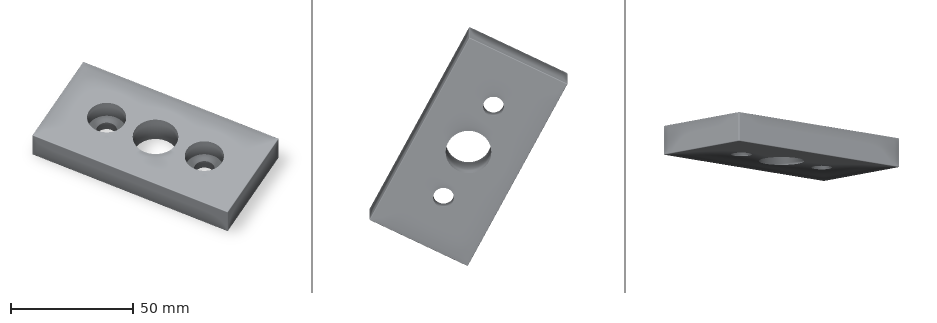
import cadquery as cq

length = 90.0
width = 45.0
thickness = 12.0
edge_radius = 0.3

bore_diameter = 18.63

screw_spacing = length / 2
screw_diameter = 8.5
counterbore_diameter = 16.0
counterbore_depth = 8.0


def make_plate():
    """Rectangular plate centred on the origin, with every outer edge rounded."""
    return cq.Workplane("XY").box(length, width, thickness).edges().fillet(edge_radius)


def cut_bore(plate):
    """Cut the through bore at the centre of the plate."""
    return plate.faces(">Z").workplane(origin=(0, 0, 0)).hole(bore_diameter)


def cut_screw_holes(plate):
    """Cut the two counterbored through holes, with the counterbores at the top."""
    return (
        plate.faces(">Z")
        .workplane(origin=(0, 0, 0))
        .pushPoints([(-screw_spacing / 2, 0), (screw_spacing / 2, 0)])
        .cboreHole(screw_diameter, counterbore_diameter, counterbore_depth)
    )


result = cut_screw_holes(cut_bore(make_plate()))